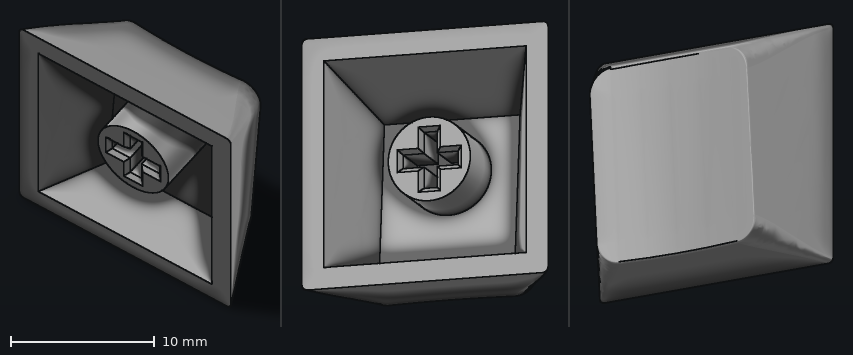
import cadquery as cq
import math

BASE_HALF = 9.0
BASE_CORNER_RADIUS = 0.4
CROWN_HALF_WIDTH = 6.0
CROWN_TOP_Z = 4.86
CROWN_CORNER_RADIUS = 1.73
CROWN_HEIGHT = 7.69
CROWN_SLOPE = 0.109
SECTION_COUNT = 5
DISH_RADIUS = 36.0
DISH_DEPTH = 0.54
CROWN_EDGE_FILLET = 0.15

OPENING_HALF_WIDTH = 7.38
OPENING_TOP_Z = 7.33
OPENING_BOTTOM_Z = -7.47
FLOOR_HALF_WIDTH = 4.95
FLOOR_TOP_Z = 4.01
FLOOR_HEIGHT = 5.85

STEM_DIAMETER = 6.0
STEM_RECESS = 0.99
CROSS_LENGTH = 4.01
CROSS_THICKNESS = 0.97
CROSS_CHAMFER = 0.32
CROSS_DEPTH = 3.6


def blend(start, end, fraction):
    return start + (end - start) * fraction


def smooth_step(fraction):
    return fraction * fraction * (3 - 2 * fraction)


def inclined_plane(height, slope):
    """Plane facing +Y; its local axes are +X and downhill along -Z."""
    return cq.Plane(origin=(0, height, 0), xDir=(1, 0, 0), normal=(0, 1, -slope))


def rectangle_wire(height, slope, half_width, bottom_z, top_z, radius=0):
    """Rectangle on an inclined plane, with optional rounded corners."""
    stretch = math.hypot(1, slope)
    rectangle = (
        cq.Workplane(inclined_plane(height, slope))
        .center(0, -(bottom_z + top_z) / 2 * stretch)
        .rect(2 * half_width, (top_z - bottom_z) * stretch)
    )
    wire = rectangle.wires().val()
    if radius:
        wire = wire.fillet2D(radius, wire.Vertices())
    return wire


def outer_section(fraction):
    return rectangle_wire(
        height=CROWN_HEIGHT * fraction,
        slope=CROWN_SLOPE * fraction,
        half_width=blend(BASE_HALF, CROWN_HALF_WIDTH, fraction),
        bottom_z=-BASE_HALF,
        top_z=blend(BASE_HALF, CROWN_TOP_Z, fraction),
        radius=blend(BASE_CORNER_RADIUS, CROWN_CORNER_RADIUS, smooth_step(fraction)),
    )


def make_body():
    sections = [outer_section(i / (SECTION_COUNT - 1)) for i in range(SECTION_COUNT)]
    return cq.Workplane(cq.Solid.makeLoft(sections))


def make_dish():
    """Cylinder lying along the crown slope."""
    axis = cq.Vector(0, CROWN_SLOPE, 1)
    length = 4 * BASE_HALF
    center = cq.Vector(0, CROWN_HEIGHT - DISH_DEPTH + DISH_RADIUS, 0)
    start = center - axis.normalized() * (length / 2)
    return cq.Workplane(cq.Solid.makeCylinder(DISH_RADIUS, length, start, axis))


def make_cavity():
    opening = rectangle_wire(0, 0, OPENING_HALF_WIDTH, OPENING_BOTTOM_Z, OPENING_TOP_Z)
    floor = rectangle_wire(FLOOR_HEIGHT, CROWN_SLOPE, FLOOR_HALF_WIDTH, OPENING_BOTTOM_Z, FLOOR_TOP_Z)
    return cq.Workplane(cq.Solid.makeLoft([opening, floor], True))


def stem_face():
    return cq.Workplane(cq.Plane(origin=(0, STEM_RECESS, 0), xDir=(1, 0, 0), normal=(0, 1, 0)))


def make_stem():
    """Round post running from its recessed face into the crown wall."""
    length = (FLOOR_HEIGHT + CROWN_HEIGHT - DISH_DEPTH) / 2 - STEM_RECESS
    return stem_face().circle(STEM_DIAMETER / 2).extrude(length)


def cross_arm(length, thickness):
    """Slot for one arm of the cross, flared at its mouth."""
    slot = stem_face().rect(length, thickness).extrude(CROSS_DEPTH)
    flare = (
        stem_face()
        .rect(length + 2 * CROSS_CHAMFER, thickness + 2 * CROSS_CHAMFER)
        .workplane(offset=CROSS_CHAMFER)
        .rect(length, thickness)
        .loft(ruled=True)
    )
    return slot.union(flare)


body = make_body().cut(make_dish())
crown = max(body.faces().vals(), key=lambda face: face.normalAt().y)
body = body.newObject([crown]).edges().fillet(CROWN_EDGE_FILLET)

result = body.cut(make_cavity()).union(make_stem())
result = result.cut(cross_arm(CROSS_LENGTH, CROSS_THICKNESS))
result = result.cut(cross_arm(CROSS_THICKNESS, CROSS_LENGTH))